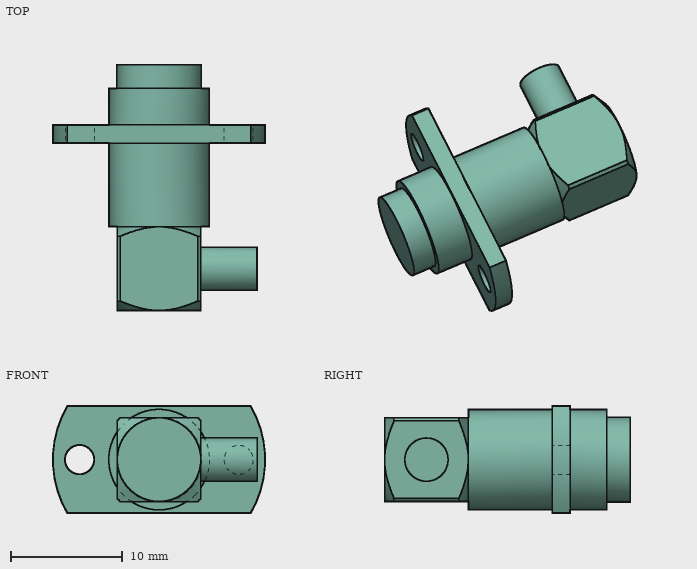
import cadquery as cq

head_size = 7.5
head_edge_chamfer = 0.29
head_end_diameter = 7.48
head_bevel_slope = 0.62

cable_diameter = 3.87
cable_length = 5.02

barrel_diameter = 9.0
barrel_length = 12.39
nose_diameter = 7.6
nose_length = 2.11

flange_diameter = 19.0
flange_height = 9.6
flange_thickness = 1.63
flange_setback = 3.28
screw_hole_diameter = 2.6
screw_hole_spacing = 14.21

head_front = -(head_size + barrel_length + nose_length) / 2
barrel_front = head_front + head_size
head_middle = (head_front + barrel_front) / 2
barrel_rear = barrel_front + barrel_length
flange_rear = barrel_rear - flange_setback
flange_front = flange_rear - flange_thickness


def section_at(y):
    """Sketch plane across the Y axis, extruding toward +Y."""
    return cq.Workplane(cq.Plane(origin=(0, y, 0), xDir=(1, 0, 0), normal=(0, 1, 0)))


def make_connector():
    """Stepped round barrel with a two-hole mounting flange around it."""
    barrel = section_at(barrel_front).circle(barrel_diameter / 2).extrude(barrel_length)
    nose = section_at(barrel_rear).circle(nose_diameter / 2).extrude(nose_length)
    return barrel.union(make_flange()).union(nose)


def make_flange():
    """Round plate cut flat at the top and bottom, with a screw hole on each side."""
    disc = section_at(flange_front).circle(flange_diameter / 2).extrude(flange_thickness)
    flats = section_at(flange_front).rect(flange_diameter, flange_height).extrude(flange_thickness)
    screw_holes = (
        section_at(flange_front)
        .pushPoints([(-screw_hole_spacing / 2, 0), (screw_hole_spacing / 2, 0)])
        .circle(screw_hole_diameter / 2)
        .extrude(flange_thickness)
    )
    return disc.intersect(flats).cut(screw_holes)


def make_head():
    """Square block with chamfered long edges and conical bevels on both ends."""
    cube = cq.Workplane("XY").box(head_size, head_size, head_size).translate((0, head_middle, 0))
    block = cube.edges("|Y").chamfer(head_edge_chamfer)
    end_radius = head_end_diameter / 2
    outer_radius = head_size
    bevel_depth = (outer_radius - end_radius) * head_bevel_slope
    bevel_envelope = (
        cq.Workplane("XY")
        .moveTo(0, head_front)
        .lineTo(end_radius, head_front)
        .lineTo(outer_radius, head_front + bevel_depth)
        .lineTo(outer_radius, barrel_front - bevel_depth)
        .lineTo(end_radius, barrel_front)
        .lineTo(0, barrel_front)
        .close()
        .revolve(360, (0, 0, 0), (0, 1, 0))
    )
    return block.intersect(bevel_envelope)


def make_cable():
    """Round cable stub standing on the +X face of the head."""
    cable_plane = cq.Workplane("YZ", origin=(head_size / 2, head_middle, 0))
    return cable_plane.circle(cable_diameter / 2).extrude(cable_length)


connector = make_connector()
head = make_head()
cable = make_cable()

result = cq.Compound.makeCompound([connector.val(), head.val(), cable.val()])